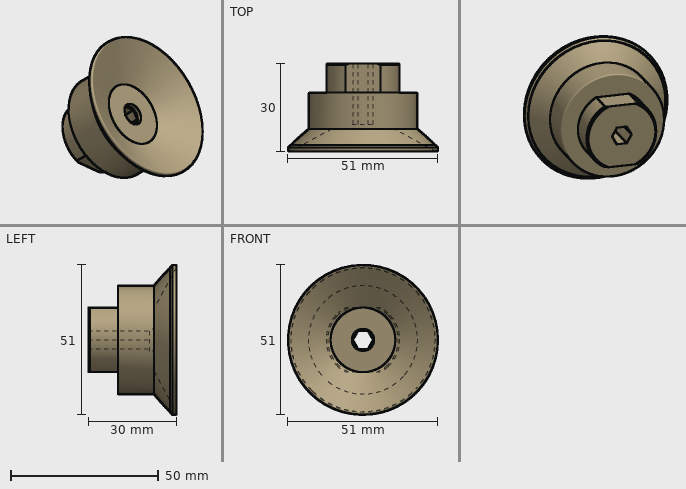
import cadquery as cq
import math

flange_diameter = 51.0
body_diameter = 37.0
neck_diameter = 24.95
neck_across_flats = 22.0
total_length = 30.0
body_end = 20.0
flare_start = 7.7
neck_chamfer = 0.5
shoulder_round = 0.5

rim_back = 2.3
rim_chamfer = 0.9
rim_round = 0.55
flare_end_diameter = 48.9
flare_bulge = 0.1

floor_diameter = 22.0
recess_depth = 7.5
bore_diameter = 7.5
bore_depth = 1.7
hex_across_flats = 6.0


def make_body():
    """Revolved solid: flared flange, cylindrical body, neck and conical recess."""
    flange_radius = flange_diameter / 2
    body_radius = body_diameter / 2
    neck_radius = neck_diameter / 2
    floor_radius = floor_diameter / 2
    flare_end_radius = flare_end_diameter / 2
    round_center = flange_radius - rim_round

    reach = math.hypot(round_center - floor_radius, recess_depth - rim_round)
    cone_tilt = math.atan2(recess_depth - rim_round, round_center - floor_radius) + math.asin(
        rim_round / reach
    )

    def on_round(angle):
        """Point on the rim round, with the angle measured outward from the axis direction."""
        return (round_center + rim_round * math.sin(angle), rim_round * (1 - math.cos(angle)))

    chord_r = flare_end_radius - body_radius
    chord_y = flare_start - rim_back
    chord = math.hypot(chord_r, chord_y)
    flare_middle = (
        (flare_end_radius + body_radius) / 2 + flare_bulge * chord_y / chord,
        (flare_start + rim_back) / 2 + flare_bulge * chord_r / chord,
    )

    profile = (
        cq.Workplane("XY")
        .moveTo(0, recess_depth)
        .lineTo(floor_radius, recess_depth)
        .lineTo(*on_round(-cone_tilt))
        .threePointArc(on_round(math.pi / 4), (flange_radius, rim_round))
        .lineTo(flange_radius, rim_back - rim_chamfer)
        .lineTo(flange_radius - rim_chamfer, rim_back)
        .lineTo(flare_end_radius, rim_back)
        .threePointArc(flare_middle, (body_radius, flare_start))
        .lineTo(body_radius, body_end - shoulder_round)
        .radiusArc((body_radius - shoulder_round, body_end), -shoulder_round)
        .lineTo(neck_radius, body_end)
        .lineTo(neck_radius, total_length - neck_chamfer)
        .lineTo(neck_radius - neck_chamfer, total_length)
        .lineTo(0, total_length)
        .close()
    )
    return profile.revolve(360, (0, 0, 0), (0, 1, 0))


def cut_flats(part):
    """Cut the two wrench flats on the neck, facing +Z and -Z."""
    neck_length = total_length - body_end
    for side in (1, -1):
        flat = cq.Workplane("XY").box(neck_diameter, neck_length, neck_diameter).translate(
            (0, body_end + neck_length / 2, side * (neck_across_flats + neck_diameter) / 2)
        )
        part = part.cut(flat)
    return part


def cut_hole(part):
    """Cut the round bore in the recess floor and the hexagonal hole through to the neck end."""
    floor_plane = cq.Workplane("XZ", origin=(0, recess_depth, 0))
    bore = floor_plane.circle(bore_diameter / 2).extrude(-bore_depth)
    hex_across_corners = hex_across_flats / math.cos(math.pi / 6)
    hexagon = floor_plane.polygon(6, hex_across_corners).extrude(recess_depth - total_length)
    return part.cut(bore).cut(hexagon)


result = cut_hole(cut_flats(make_body()))